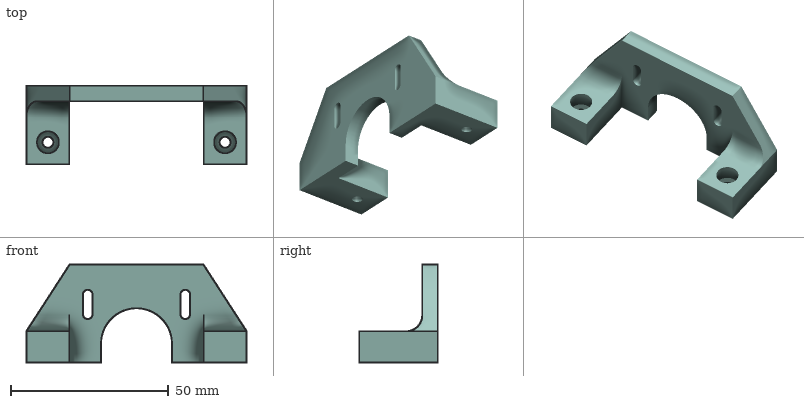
import cadquery as cq
import math

width = 70.0
depth = 25.0
height = 31.25

plate_thickness = 5.0
plate_top_width = 42.5

foot_height = 10.0
foot_width = 13.7
fillet_radius = 5.0

arch_radius = 11.25
arch_center_z = 6.0

slot_spacing = 31.0
slot_width = 3.0
slot_length = 9.25
slot_center_z = 18.5

screw_diameter = 3.4
head_diameter = 7.0
screw_floor = 5.0
screw_from_front = 7.0

plate_front_y = depth - plate_thickness
foot_center_x = (width - foot_width) / 2


def plate_outline():
    """Front outline: straight sides up to foot height, then tapering to the top edge."""
    return (
        cq.Workplane("XZ")
        .moveTo(-width / 2, 0)
        .lineTo(width / 2, 0)
        .lineTo(width / 2, foot_height)
        .lineTo(plate_top_width / 2, height)
        .lineTo(-plate_top_width / 2, height)
        .lineTo(-width / 2, foot_height)
        .close()
    )


def outline_prism():
    """The front outline extended over the full depth of the part."""
    return plate_outline().extrude(-depth)


def foot(center_x):
    """Foot with a concave fillet rising to the plate, trimmed to the tapered sides."""
    fillet_top_z = foot_height + fillet_radius
    fillet_front_y = plate_front_y - fillet_radius
    arc_offset = fillet_radius * math.sin(math.radians(45))
    profile = (
        cq.Workplane("YZ", origin=(center_x - foot_width / 2, 0, 0))
        .lineTo(depth, 0)
        .lineTo(depth, fillet_top_z)
        .lineTo(plate_front_y, fillet_top_z)
        .threePointArc(
            (fillet_front_y + arc_offset, fillet_top_z - arc_offset),
            (fillet_front_y, foot_height),
        )
        .lineTo(0, foot_height)
        .close()
    )
    return profile.extrude(foot_width).intersect(outline_prism())


def arch_opening():
    """Round-topped opening; its legs reach below the underside so the cut is open there."""
    leg = (
        cq.Workplane("XZ")
        .rect(2 * arch_radius, 2 * arch_center_z)
        .extrude(-depth)
    )
    crown = (
        cq.Workplane("XZ")
        .center(0, arch_center_z)
        .circle(arch_radius)
        .extrude(-depth)
    )
    return leg.union(crown)


def slots():
    """Pair of vertical slots through the plate."""
    return (
        cq.Workplane("XZ")
        .center(0, slot_center_z)
        .pushPoints([(-slot_spacing / 2, 0), (slot_spacing / 2, 0)])
        .slot2D(slot_length, slot_width, 90)
        .extrude(-depth)
    )


def screw_hole(center_x):
    """Through hole with a counterbore opening upward."""
    base = cq.Workplane("XY").center(center_x, screw_from_front)
    shank = base.circle(screw_diameter / 2).extrude(foot_height)
    head = (
        base.workplane(offset=screw_floor)
        .circle(head_diameter / 2)
        .extrude(foot_height - screw_floor)
    )
    return shank.union(head)


plate = plate_outline().extrude(-plate_thickness).translate((0, plate_front_y, 0))
result = plate.cut(arch_opening()).cut(slots())
for x in (-foot_center_x, foot_center_x):
    result = result.union(foot(x)).cut(screw_hole(x))